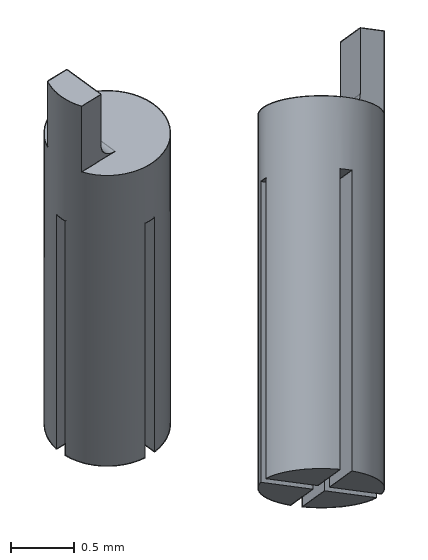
import cadquery as cq

body_diameter = 1.0
body_height = 3.1
slot_width = 0.1
slot_height = 2.5

total_height = 3.8
tab_width = 0.4
tab_inner_y = -0.25
root_radius = 0.15

body_radius = body_diameter / 2


def make_cylinder(height):
    return cq.Workplane("XY").circle(body_radius).extrude(height)


def make_tab():
    """Tab with a concave root fillet, trimmed to the round of the body."""
    root_y = tab_inner_y + root_radius
    profile = (
        cq.Workplane("YZ")
        .moveTo(-body_radius, 0)
        .lineTo(root_y, 0)
        .lineTo(root_y, body_height)
        .radiusArc((tab_inner_y, body_height + root_radius), root_radius)
        .lineTo(tab_inner_y, total_height)
        .lineTo(-body_radius, total_height)
        .close()
        .extrude(tab_width / 2, both=True)
    )
    return profile.intersect(make_cylinder(total_height))


def make_cross_slots():
    """Two crossing slots, open at the bottom, that split the body into four legs."""
    along_x = cq.Workplane("XY").rect(body_diameter, slot_width).extrude(slot_height)
    along_y = cq.Workplane("XY").rect(slot_width, body_diameter).extrude(slot_height)
    return along_x.union(along_y)


result = make_cylinder(body_height).union(make_tab()).cut(make_cross_slots())